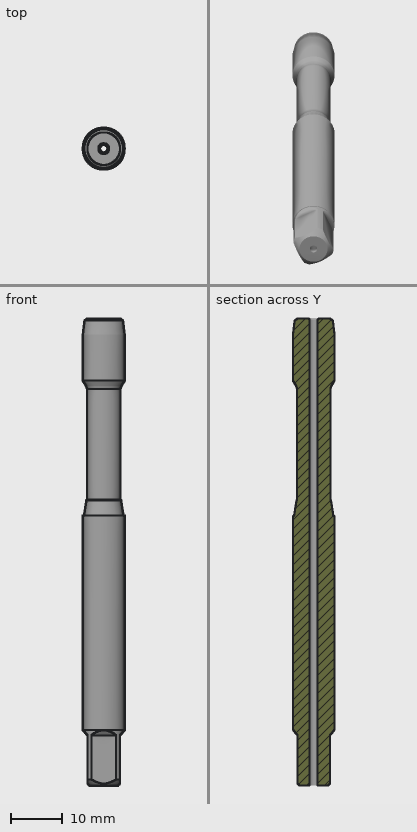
import cadquery as cq

length = 90.0
body_diameter = 8.1
neck_diameter = 6.5

square_width = 6.3
square_corner_diameter = 7.9
square_height = 9.7
runout_height = 1.1
square_end_diameter = 5.4

shank_top = 52.0
neck_bottom = 55.2
neck_step_height = 0.3
shank_cone_large_diameter = 7.65
shank_cone_small_diameter = 6.75
neck_top = 76.4
head_cone_bottom = 76.95
head_cone_diameter = 6.8
head_bottom = 78.0
lead_cone_bottom = 86.85
lead_cone_diameter = 7.5
tip_height = 0.45
tip_diameter = 6.3

hole_diameter = 1.4
countersink_diameter = 2.1

body_radius = body_diameter / 2
corner_radius = square_corner_diameter / 2
neck_radius = neck_diameter / 2
shank_bottom = square_height + runout_height


def turned_body():
    """Revolve the half profile of the whole shaft about Z."""
    end_radius = square_end_diameter / 2
    end_chamfer = corner_radius - end_radius
    profile = [
        (0, 0),
        (end_radius, 0),
        (corner_radius, end_chamfer),
        (corner_radius, shank_bottom),
        (body_radius, shank_bottom),
        (body_radius, shank_top),
        (shank_cone_large_diameter / 2, shank_top),
        (shank_cone_small_diameter / 2, neck_bottom - neck_step_height),
        (neck_radius, neck_bottom),
        (neck_radius, neck_top),
        (head_cone_diameter / 2, head_cone_bottom),
        (body_radius, head_bottom),
        (body_radius, lead_cone_bottom),
        (lead_cone_diameter / 2, length - tip_height),
        (tip_diameter / 2, length),
        (0, length),
    ]
    return cq.Workplane("XZ").polyline(profile).close().revolve(360, (0, 0), (0, 1))


def flat_cutter(angle):
    """Side cutter for one flat, with a sloped run-out at its upper end."""
    flat = square_width / 2
    profile = [
        (flat, 0),
        (flat, square_height),
        (body_radius, shank_bottom),
        (body_diameter, shank_bottom),
        (body_diameter, 0),
    ]
    cutter = cq.Workplane("XZ").polyline(profile).close().extrude(body_radius, both=True)
    return cutter.rotate((0, 0, 0), (0, 0, 1), angle)


def coolant_hole():
    """Through hole along the axis, with a 90 degree countersink at the top."""
    hole_radius = hole_diameter / 2
    sink_radius = countersink_diameter / 2
    profile = [
        (0, 0),
        (hole_radius, 0),
        (hole_radius, length - (sink_radius - hole_radius)),
        (sink_radius, length),
        (0, length),
    ]
    return cq.Workplane("XZ").polyline(profile).close().revolve(360, (0, 0), (0, 1))


result = turned_body()
for flat_angle in (0, 90, 180, 270):
    result = result.cut(flat_cutter(flat_angle))
result = result.cut(coolant_hole())